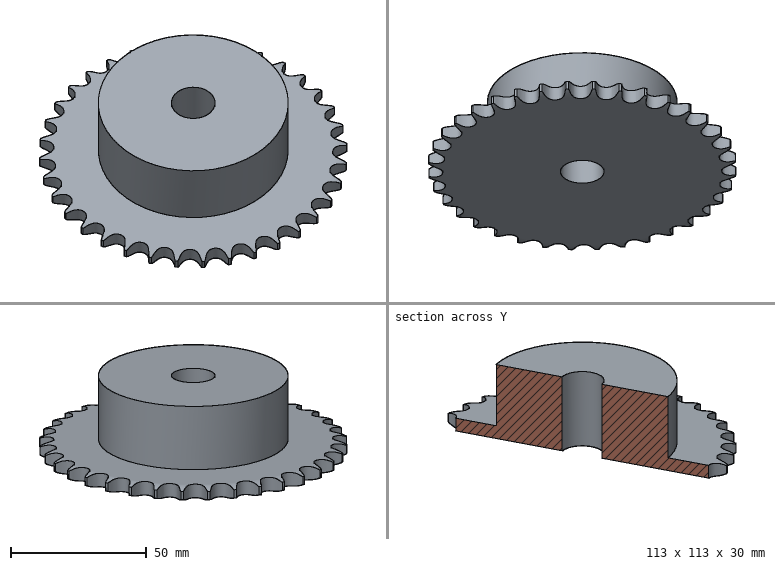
import cadquery as cq
import math

outer_size = 113.0
total_height = 30.0
plate_thickness = 5.3
hub_diameter = 70.0
bore_diameter = 16.0

tooth_count = 36
pitch_radius = 54.6
roller_diameter = 6.3
roller_clearance = 0.06
straight_length = 0.89
tip_curve_radius = 5.1
rim_curve_depth = 1.05
rim_curve_start = 52.2

tooth_angle = 2 * math.pi / tooth_count

seat_radius = roller_diameter / 2 + roller_clearance
working_offset = 0.8 * roller_diameter
working_radius = seat_radius + working_offset
seat_slope = math.radians(35 + 60 / tooth_count)
working_sweep = math.radians(18 - 56 / tooth_count)
flank_slope = seat_slope - working_sweep


def polar_point(centre, radius, slope):
    """Point at a radius from the centre, turned down from sideways by the slope angle."""
    return centre[0] + radius * math.cos(slope), centre[1] - radius * math.sin(slope)


roller_centre = (0, pitch_radius)
seat_bottom = (0, pitch_radius - seat_radius)
seat_end = polar_point(roller_centre, seat_radius, seat_slope)

working_centre = polar_point(roller_centre, -working_offset, seat_slope)
working_middle = polar_point(working_centre, working_radius, seat_slope - working_sweep / 2)
working_end = polar_point(working_centre, working_radius, flank_slope)

straight_end = (
    working_end[0] + straight_length * math.sin(flank_slope),
    working_end[1] + straight_length * math.cos(flank_slope),
)

tip_curve_centre = polar_point(straight_end, tip_curve_radius, flank_slope)
corner_distance = outer_size / 2
corner_slope = math.asin((corner_distance - tip_curve_centre[1]) / tip_curve_radius)
tip_curve_middle = polar_point(tip_curve_centre, -tip_curve_radius, (flank_slope + corner_slope) / 2)
tip_corner = polar_point(tip_curve_centre, -tip_curve_radius, corner_slope)

tip_radius = math.hypot(*tip_corner)
tip_middle = (tip_radius * math.sin(tooth_angle / 2), tip_radius * math.cos(tooth_angle / 2))


def mirrored(point):
    """Same point on the other side of the gap centreline."""
    return -point[0], point[1]


def at_gap(point, index):
    """Turn a point of the first gap clockwise to the gap with this index."""
    angle = index * tooth_angle
    side, out = point
    x = side * math.cos(angle) + out * math.sin(angle)
    y = out * math.cos(angle) - side * math.sin(angle)
    return x, y


def toothed_plate():
    """Flat plate with the full tooth outline."""
    outline = cq.Workplane("XY").moveTo(*mirrored(tip_corner))
    for index in range(tooth_count):
        steps = [
            (mirrored(tip_curve_middle), mirrored(straight_end)),
            (None, mirrored(working_end)),
            (mirrored(working_middle), mirrored(seat_end)),
            (seat_bottom, seat_end),
            (working_middle, working_end),
            (None, straight_end),
            (tip_curve_middle, tip_corner),
        ]
        for middle, end in steps:
            if middle is None:
                outline = outline.lineTo(*at_gap(end, index))
            else:
                outline = outline.threePointArc(at_gap(middle, index), at_gap(end, index))
        next_gap_start = at_gap(mirrored(tip_corner), index + 1)
        outline = outline.threePointArc(at_gap(tip_middle, index), next_gap_start)
    return outline.close().extrude(plate_thickness)


def rounded_disc():
    """Disc whose rim curves in from both faces, tangent to them, to thin the tooth tips."""
    rim_width = tip_radius - rim_curve_start
    curve_radius = (rim_width**2 + rim_curve_depth**2) / (2 * rim_curve_depth)
    middle_angle = math.asin(rim_width / curve_radius) / 2
    middle_radius = rim_curve_start + curve_radius * math.sin(middle_angle)
    middle_drop = curve_radius * (1 - math.cos(middle_angle))
    top = plate_thickness
    return (
        cq.Workplane("XZ")
        .lineTo(rim_curve_start, 0)
        .threePointArc((middle_radius, middle_drop), (tip_radius, rim_curve_depth))
        .lineTo(tip_radius, top - rim_curve_depth)
        .threePointArc((middle_radius, top - middle_drop), (rim_curve_start, top))
        .lineTo(0, top)
        .close()
        .revolve(360, (0, 0), (0, 1))
    )


hub = cq.Workplane("XY").circle(hub_diameter / 2).extrude(total_height)
bore = cq.Workplane("XY").circle(bore_diameter / 2).extrude(total_height)

result = toothed_plate().intersect(rounded_disc()).union(hub).cut(bore)